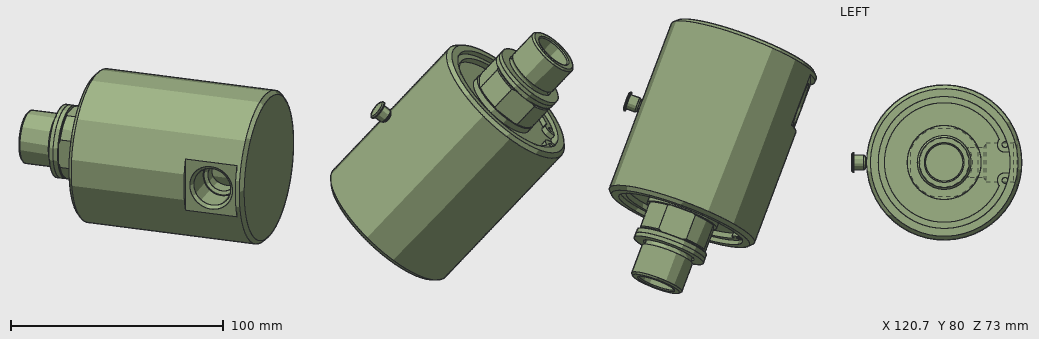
import cadquery as cq
import math

LENGTH = 120.7
WIDTH = 80.0

BODY_D = 73.0
BODY_START = 33.2
BODY_CHAMFER = 1.8

RECESS_D = 62.0
RECESS_DEPTH = 4.7
RING_INNER_D = 56.3
RING_TOP_DEPTH = 2.2
EAR_Y = -28.6
EAR_Z = 8.5
EAR_R = 3.6
EAR_HOLE_D = 2.8

THREAD_D = 25.4
THREAD_CHAMFER = 0.9
UNDERCUT_D = 23.0
UNDERCUT_R = 2.0

WASHER_D = 34.9
WASHER_START = 17.1
FLANGE_D = 34.8
FLANGE_START = 19.1
FLANGE_END = 21.4

RELIEF_D = 33.7
WRENCH_START = 21.7
WRENCH_D = 34.8
WRENCH_CHAMFER_LENGTH = 0.5
FLATS_ACROSS = 31.9
FLATS_END = 35.0
COLLAR_D = 34.9

BORE_D = 17.5
BORE_CHAMFER = 0.6
BORE_DEPTH = 96.6

PORT_X = 104.1
PORT_FLAT_LENGTH = 25.7
PORT_FLAT_Y = 34.2
PORT_MOUTH_D = 21.4
PORT_THREAD_D = 18.3
PORT_SEAT_D = 17.5
PORT_THREAD_DEPTH = 14.5
PORT_HOLE_D = 14.2
DRILL_POINT_ANGLE = 118.0
PORT_CORE_D = 26.5

NIPPLE_X = 77.4
NIPPLE_TOP_Y = WIDTH - BODY_D / 2
NIPPLE_HEAD_D = 9.4
NIPPLE_HEAD_HEIGHT = 1.1
NIPPLE_HEAD_CHAMFER = 0.6
NIPPLE_D = 7.1
NIPPLE_NECK_D = 4.7
NIPPLE_BARREL_HEIGHT = 4.5
NIPPLE_TAPER_HEIGHT = 0.8
NIPPLE_TAPER_INSET = 0.5
NIPPLE_EMBED = 1.2


def cylinder(diameter, start, end):
    """Solid cylinder on the X axis between two X positions."""
    return cq.Workplane("YZ", origin=(start, 0, 0)).circle(diameter / 2).extrude(end - start)


def make_housing():
    housing = cylinder(BODY_D, BODY_START, LENGTH).faces("<X or >X").chamfer(BODY_CHAMFER)
    return housing.cut(cylinder(RECESS_D, BODY_START, BODY_START + RECESS_DEPTH))


def make_retaining_ring():
    """Open ring whose ends carry two drilled ears."""
    top = BODY_START + RING_TOP_DEPTH
    floor = BODY_START + RECESS_DEPTH
    thickness = floor - top
    plane = cq.Workplane("YZ", origin=(top, 0, 0))
    ear_points = [(EAR_Y, EAR_Z), (EAR_Y, -EAR_Z)]

    ring = cylinder(RECESS_D, top, floor).cut(cylinder(RING_INNER_D, top, floor))
    gap = plane.center(-RECESS_D / 2, 0).rect(RECESS_D / 2, 2 * EAR_Z).extrude(thickness)
    ears = plane.pushPoints(ear_points).circle(EAR_R).extrude(thickness)
    ear_roots = (
        plane.pushPoints([(y - EAR_R, z) for y, z in ear_points])
        .rect(2 * EAR_R, 2 * EAR_R)
        .extrude(thickness)
    )
    ear_holes = plane.pushPoints(ear_points).circle(EAR_HOLE_D / 2).extrude(thickness)
    ears = ears.union(ear_roots).intersect(cylinder(RECESS_D, top, floor))
    return ring.cut(gap).union(ears).cut(ear_holes)


def make_threaded_stub():
    """Stub whose thread runs out at 45 degrees into an arc that rises to the flange."""
    thread_r = THREAD_D / 2
    arc_x = FLANGE_START - UNDERCUT_R
    arc_height = UNDERCUT_D / 2 + UNDERCUT_R
    diagonal = UNDERCUT_R * math.sqrt(0.5)
    run_out = (arc_x - diagonal, arc_height - diagonal)
    thread_end = run_out[0] - (thread_r - run_out[1])
    return (
        cq.Workplane("XY")
        .lineTo(0, thread_r - THREAD_CHAMFER)
        .lineTo(THREAD_CHAMFER, thread_r)
        .lineTo(thread_end, thread_r)
        .lineTo(*run_out)
        .threePointArc((arc_x, UNDERCUT_D / 2), (FLANGE_START, arc_height))
        .lineTo(FLANGE_END, arc_height)
        .lineTo(FLANGE_END, 0)
        .close()
        .revolve(360, (0, 0, 0), (1, 0, 0))
    )


def make_washer_and_flange():
    washer = cylinder(WASHER_D, WASHER_START, FLANGE_START)
    washer = washer.cut(cylinder(THREAD_D, WASHER_START, FLANGE_START))
    return washer.union(cylinder(FLANGE_D, FLANGE_START, FLANGE_END))


def make_wrench_section():
    chamfer_height = (WRENCH_D - RELIEF_D) / 2
    wrench = (
        cylinder(WRENCH_D, WRENCH_START, FLATS_END)
        .faces("<X or >X")
        .chamfer(WRENCH_CHAMFER_LENGTH, chamfer_height)
    )
    flats = (
        cq.Workplane("YZ", origin=(FLANGE_END, 0, 0))
        .rect(FLATS_ACROSS, FLATS_ACROSS)
        .extrude(FLATS_END - FLANGE_END)
    )
    relief = cylinder(RELIEF_D, FLANGE_END, WRENCH_START)
    collar = cylinder(COLLAR_D, FLATS_END, BODY_START + RECESS_DEPTH)
    return wrench.union(relief).intersect(flats).union(collar)


def make_bore():
    bore_r = BORE_D / 2
    return (
        cq.Workplane("XY")
        .lineTo(0, bore_r + BORE_CHAMFER)
        .lineTo(BORE_CHAMFER, bore_r)
        .lineTo(BORE_DEPTH, bore_r)
        .lineTo(BORE_DEPTH, 0)
        .close()
        .revolve(360, (0, 0, 0), (1, 0, 0))
    )


def make_port_cutter():
    """Spot-faced flat and stepped hole, ending on the round core of the housing."""
    mouth_r = PORT_MOUTH_D / 2
    thread_r = PORT_THREAD_D / 2
    seat_r = PORT_SEAT_D / 2
    hole_r = PORT_HOLE_D / 2
    thread_end_y = -PORT_FLAT_Y + PORT_THREAD_DEPTH
    seat_cone_height = (seat_r - hole_r) / math.tan(math.radians(DRILL_POINT_ANGLE / 2))
    hole = (
        cq.Workplane("XY")
        .moveTo(PORT_X, -PORT_FLAT_Y)
        .lineTo(PORT_X + mouth_r, -PORT_FLAT_Y)
        .lineTo(PORT_X + thread_r, -PORT_FLAT_Y + mouth_r - thread_r)
        .lineTo(PORT_X + thread_r, thread_end_y)
        .lineTo(PORT_X + seat_r, thread_end_y)
        .lineTo(PORT_X + hole_r, thread_end_y + seat_cone_height)
        .lineTo(PORT_X + hole_r, 0)
        .lineTo(PORT_X, 0)
        .close()
        .revolve(360, (PORT_X, 0, 0), (PORT_X, 1, 0))
    )
    flat_depth = BODY_D / 2 - PORT_FLAT_Y
    flat = cq.Workplane("XY").box(PORT_FLAT_LENGTH, flat_depth, BODY_D)
    flat = flat.translate((PORT_X, -PORT_FLAT_Y - flat_depth / 2, 0))
    return hole.cut(cylinder(PORT_CORE_D, BODY_START, LENGTH)).union(flat)


def make_nipple():
    head_r = NIPPLE_HEAD_D / 2
    barrel_r = NIPPLE_D / 2
    neck_r = NIPPLE_NECK_D / 2
    head_base = NIPPLE_TOP_Y - NIPPLE_HEAD_HEIGHT
    barrel_base = head_base - NIPPLE_BARREL_HEIGHT
    taper_base = barrel_base - NIPPLE_TAPER_HEIGHT
    root = BODY_D / 2 - NIPPLE_EMBED
    return (
        cq.Workplane("XY")
        .moveTo(NIPPLE_X, NIPPLE_TOP_Y)
        .lineTo(NIPPLE_X + head_r - NIPPLE_HEAD_CHAMFER, NIPPLE_TOP_Y)
        .lineTo(NIPPLE_X + head_r, NIPPLE_TOP_Y - NIPPLE_HEAD_CHAMFER)
        .lineTo(NIPPLE_X + head_r, head_base)
        .lineTo(NIPPLE_X + barrel_r, head_base)
        .lineTo(NIPPLE_X + barrel_r, barrel_base)
        .lineTo(NIPPLE_X + barrel_r - NIPPLE_TAPER_INSET, taper_base)
        .lineTo(NIPPLE_X + neck_r, taper_base)
        .lineTo(NIPPLE_X + neck_r, root)
        .lineTo(NIPPLE_X, root)
        .close()
        .revolve(360, (NIPPLE_X, 0, 0), (NIPPLE_X, 1, 0))
    )


result = (
    make_housing()
    .union(make_retaining_ring())
    .union(make_threaded_stub())
    .union(make_washer_and_flange())
    .union(make_wrench_section())
    .union(make_nipple())
    .cut(make_port_cutter())
    .cut(make_bore())
)